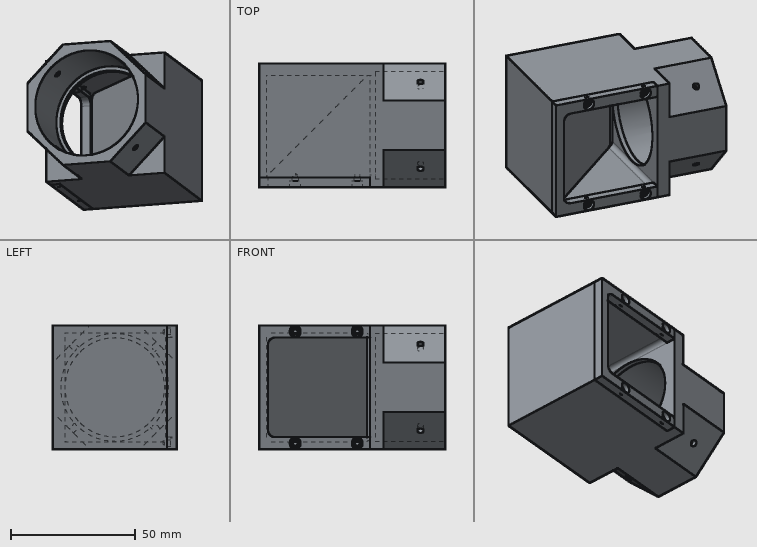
import cadquery as cq
import math

cube_size = 50.0
half = cube_size / 2

neck_length = 25.0
neck_chamfer = 15.0
overall_length = cube_size + neck_length
chamfer_face_distance = (cube_size - neck_chamfer) / math.sqrt(2)

cover_length = 44.6
cover_thickness = 4.0
cover_back_y = -half + cover_thickness
window_left_x = 3.5
window_height = 40.2
window_corner_radius = 3.0

cavity_wall = 3.0
cavity_back_wall = 5.0
cavity_corner_radius = 2.0
cavity_back_y = half - cavity_back_wall
cavity_height = cube_size - 2 * cavity_wall

mirror_tip_x = 43.5

port_diameter = 40.0
lip_length = 2.2
neck_bore_diameter = 43.5
lip_end_x = cover_length + lip_length

screw_x_positions = (14.5, 39.5)
screw_z = (half + window_height / 2) / 2
screw_head_diameter = 4.4
screw_head_depth = 2.5
screw_clearance_diameter = 2.6
screw_tap_diameter = 2.05
screw_tap_depth = 1.0
drill_point_angle = 118.0

set_screw_setback = 10.0
set_screw_x = overall_length - set_screw_setback
set_screw_diameter = 2.5


def block(x_range, y_range, z_height):
    """Box between two X and two Y positions, centred on Z = 0."""
    x_start, x_end = x_range
    y_start, y_end = y_range
    return (
        cq.Workplane("XY")
        .box(x_end - x_start, y_end - y_start, z_height, centered=(False, False, True))
        .translate((x_start, y_start, 0))
    )


def cylinder_x(diameter, x_start, x_end):
    """Cylinder on the bore axis between two X positions."""
    return cq.Workplane("YZ", origin=(x_start, 0, 0)).circle(diameter / 2).extrude(x_end - x_start)


def cylinders_at_screws(diameter, y_start, depth):
    """Cylinders at the four cover screws, running in +Y from y_start."""
    points = [(x, z) for x in screw_x_positions for z in (-screw_z, screw_z)]
    plane = cq.Workplane("XZ", origin=(0, y_start, 0))
    return plane.pushPoints(points).circle(diameter / 2).extrude(-depth)


def make_cavity():
    """Full cavity space, rounded along its four Y edges."""
    cavity = block((cavity_wall, cover_length), (cover_back_y, cavity_back_y), cavity_height)
    return cavity.edges("|Y").fillet(cavity_corner_radius)


def make_set_screw_holes():
    """Radial holes, one square to each neck chamfer."""
    hole = (
        cq.Workplane("XY", origin=(set_screw_x, 0, 0))
        .circle(set_screw_diameter / 2)
        .extrude(chamfer_face_distance)
    )
    holes = cq.Workplane("XY")
    for angle in (45, 135, 225, 315):
        holes = holes.add(hole.rotate((0, 0, 0), (1, 0, 0), angle))
    return holes.combine()


def make_tapped_holes():
    """Short blind holes for the cover screws, each ending in a drill point."""
    radius = screw_tap_diameter / 2
    point_length = radius / math.tan(math.radians(drill_point_angle / 2))
    point = cq.Solid.makeCone(radius, 0, point_length, dir=cq.Vector(0, 1, 0))
    holes = cylinders_at_screws(screw_tap_diameter, cover_back_y, screw_tap_depth)
    point_base_y = cover_back_y + screw_tap_depth
    for x in screw_x_positions:
        for z in (-screw_z, screw_z):
            holes = holes.union(cq.Workplane(point.translate(cq.Vector(x, point_base_y, z))))
    return holes


def make_housing():
    cube = block((0, cube_size), (-half, half), cube_size)
    neck = block((cube_size, overall_length), (-half, half), cube_size)
    neck = neck.edges("|X").chamfer(neck_chamfer)
    cover_recess = block((0, cover_length), (-half, cover_back_y), cube_size)
    return (
        cube.union(neck)
        .cut(cover_recess)
        .cut(make_cavity())
        .cut(cylinder_x(port_diameter, cover_length, lip_end_x))
        .cut(cylinder_x(neck_bore_diameter, lip_end_x, overall_length))
        .cut(make_set_screw_holes())
        .cut(make_tapped_holes())
    )


def make_cover():
    plate = block((0, cover_length), (-half, cover_back_y), cube_size)
    window = block((window_left_x, cover_length), (-half, cover_back_y), window_height)
    window = window.edges("|Y and <X").fillet(window_corner_radius)
    return (
        plate.cut(window)
        .cut(cylinders_at_screws(screw_clearance_diameter, -half, cover_thickness))
        .cut(cylinders_at_screws(screw_head_diameter, -half, screw_head_depth))
    )


def make_mirror_block():
    """Triangular block filling the cavity behind the 45 degree mirror face."""
    leg = mirror_tip_x - cavity_wall
    wedge = (
        cq.Workplane("XY", origin=(0, 0, -half))
        .moveTo(cavity_wall, cavity_back_y - leg)
        .lineTo(mirror_tip_x, cavity_back_y)
        .lineTo(cavity_wall, cavity_back_y)
        .close()
        .extrude(cube_size)
    )
    return wedge.intersect(make_cavity())


housing = make_housing().solids()
cover = make_cover().solids()
mirror_block = make_mirror_block().solids()

result = cq.Compound.makeCompound([*housing.vals(), *cover.vals(), *mirror_block.vals()])